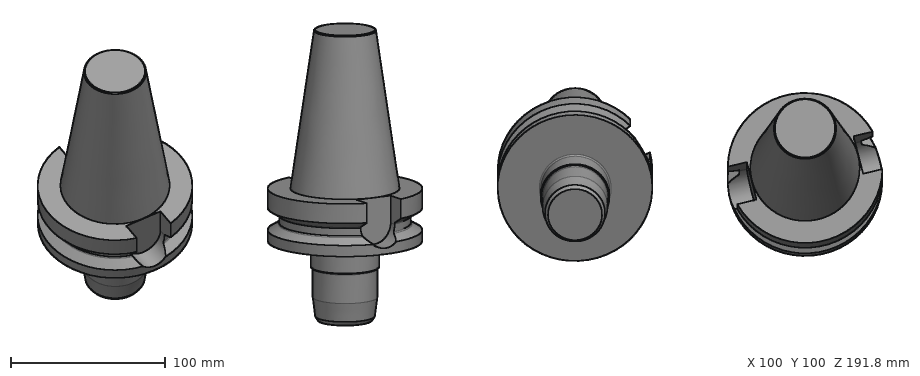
import cadquery as cq

total_height = 191.8
flange_radius = 100.0 / 2
flange_bottom = 52.4
flange_top = 87.0

groove_radius = 85.2 / 2
lower_rim_top = 59.6
groove_floor_bottom = 63.9
groove_floor_top = 70.0
groove_fillet = 1.0
upper_rim_bottom = 74.2

shank_radius = 70.5 / 2
cone_slope = 7 / 48
shank_chamfer = 0.8
chamfer_bottom = total_height - shank_chamfer
shank_end_radius = shank_radius - cone_slope * (chamfer_bottom - flange_top)

neck_radius = 44.5 / 2
neck_bottom = 35.0
neck_chamfer = 0.5
neck_fillet = 1.0
step_fillet = 0.5
nose_radius = 42.0 / 2
nose_taper_top = 15.5
tip_radius = 38.7 / 2
tip_chamfer_height = 2.9
tip_end_radius = 35.0 / 2

slot_width = 25.7
slot_floor_distance = 35.5
slot_bottom = 56.4

search_margin = 0.1


def revolved_body():
    """Solid of revolution about Z, from the nose tip up to the shank end."""
    profile = [
        (0, 0),
        (tip_end_radius, 0),
        (tip_radius, tip_chamfer_height),
        (nose_radius, nose_taper_top),
        (nose_radius, neck_bottom),
        (neck_radius - neck_chamfer, neck_bottom),
        (neck_radius, neck_bottom + neck_chamfer),
        (neck_radius, flange_bottom),
        (flange_radius, flange_bottom),
        (flange_radius, lower_rim_top),
        (groove_radius, groove_floor_bottom),
        (groove_radius, groove_floor_top),
        (flange_radius, upper_rim_bottom),
        (flange_radius, flange_top),
        (shank_radius, flange_top),
        (shank_end_radius, chamfer_bottom),
        (shank_end_radius - shank_chamfer, total_height),
        (0, total_height),
    ]
    return cq.Workplane("XZ").polyline(profile).close().revolve(360, (0, 0), (0, 1))


def fillet_ring(body, radius, height, fillet):
    """Round the circular edge of the given radius and height about Z."""
    reach = radius + search_margin
    ring_edges = cq.selectors.BoxSelector(
        (-reach, -reach, height - search_margin),
        (reach, reach, height + search_margin),
        boundingbox=True,
    )
    return body.edges("%CIRCLE").edges(ring_edges).fillet(fillet)


def drive_slot(side):
    """Round-bottomed slot cutter, open at the top; side is +1 or -1 along X."""
    half_width = slot_width / 2
    round_center = slot_bottom + half_width
    return (
        cq.Workplane("YZ", origin=(side * slot_floor_distance, 0, 0))
        .moveTo(-half_width, flange_top)
        .lineTo(-half_width, round_center)
        .threePointArc((0, slot_bottom), (half_width, round_center))
        .lineTo(half_width, flange_top)
        .close()
        .extrude(side * flange_radius)
    )


result = revolved_body()
result = fillet_ring(result, groove_radius, groove_floor_bottom, groove_fillet)
result = fillet_ring(result, groove_radius, groove_floor_top, groove_fillet)
result = fillet_ring(result, neck_radius, flange_bottom, neck_fillet)
result = fillet_ring(result, nose_radius, neck_bottom, step_fillet)
for side in (-1, 1):
    result = result.cut(drive_slot(side))